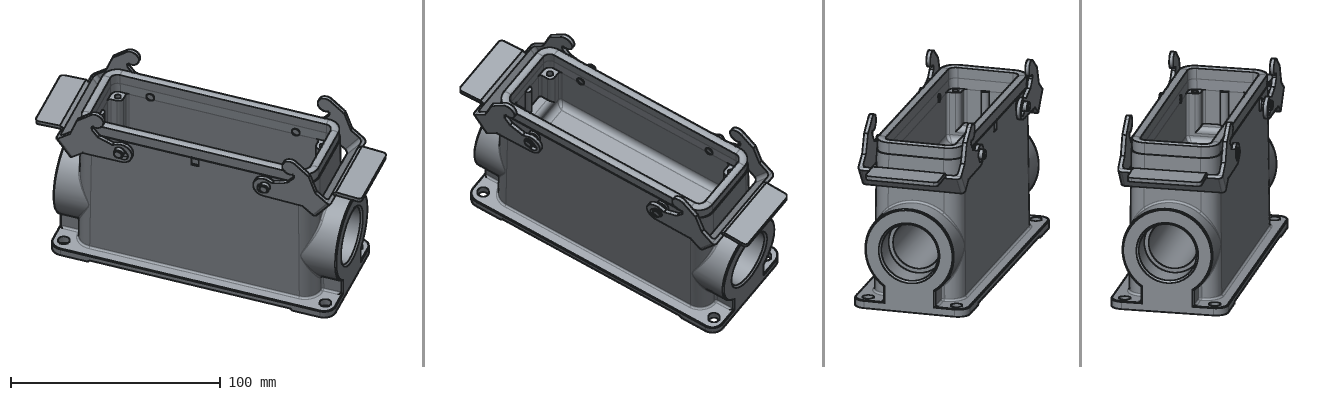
import math

import cadquery as cq

base_length = 144.0
base_width = 57.0
base_thickness = 4.0
base_corner_radius = 6.0
base_edge_chamfer = 0.4
foot_relief_length = 104.0
foot_relief_height = 1.0
mount_hole_diameter = 5.6
mount_hole_x = 66.5
mount_hole_y = 22.0

body_length = 122.6
body_width = 44.9
body_draft = 0.65
body_corner_radius = 8.0
foot_fillet = 1.0
shoulder_z = 74.8
key_notch_width = 3.8
key_notch_height = 4.2
key_notch_depth = 1.0
key_notch_top_z = shoulder_z - 0.2

rim_length = 120.0
rim_width = 42.7
rim_corner_radius = 7.6
rim_wall = 4.0
rim_edge_z = 80.4
rim_crown_height = 0.6

mouth_length = rim_length - 2 * rim_wall
mouth_width = rim_width - 2 * rim_wall
mouth_corner_radius = rim_corner_radius - rim_wall
mouth_bottom_z = 75.2
mouth_step = 0.2
lower_length = mouth_length - 2 * mouth_step
lower_width = mouth_width - 2 * mouth_step
post_top_z = 70.0
post_fillet = 2.5
well_half_length = 49.0
well_floor_z = 45.5
well_floor_fillet = 3.4
wall_fillet = 1.2
trough_width = 21.0
ledge_z = 53.0
ledge_fillet = 2.8
end_rib_diameter = 4.0
screw_hole_diameter = 3.0
screw_hole_depth = 15.0
screw_tip_depth = 0.9
screw_hole_x = 52.1
screw_hole_y = 13.6

entry_axis_z = 29.9
entry_radius = 22.1
entry_rim_chamfer = 0.6
entry_bore_diameter = 28.3
entry_bore_depth = 13.3
entry_bore_chamfer = 1.0
entry_root_fillet = 1.0
tunnel_diameter = 24.0
pedestal_width = 26.0
pedestal_chamfer = 0.8

pin_x = 37.0
pin_z = 70.9
pin_diameter = 4.75
pin_tip_y = 27.5
pin_tip_chamfer = 0.5
pin_root_y = mouth_width / 2 + rim_wall / 2
collar_diameter = 6.72
collar_tip_diameter = 5.6
collar_tip_y = 22.7
pin_dimple_diameter = 4.0
pin_dimple_depth = 0.3

sheet = 2.0
lever_width = 51.2
lever_offset_y = 0.75
lever_bend_outer_radius = 1.9
lever_bend_inner_radius = 2.0
right_lever_swing = 0.7
hook_radius = 4.0
hook_center = (-49.35, 86.12)
hook_root_angle = -110
hook_back_angle = 130
hook_throat = [(-40.7, 73.8), (-43.7, 74.9), (-48.0, 76.4), (-51.2, 80.2), (-51.4, 81.6)]
lever_back = [(-58.9, 83.6), (-62.4, 74.3)]
lever_heel = (-55.9, 64.3)
slot_width = 5.0
slot_travel = 2.6
slot_angle = -50
eye_radius = 5.35
eye_end_angle = 100
web_bottom = (-61.1, 60.4)
web_length = 11.8
web_angle = 127
web_outward = web_angle + 90
tab_width = 36.0
tab_tip_x = -83.0
tab_droop = 2.5
tab_rise = 1.4
tab_root_overlap = 1.0
tab_corner_radius = 2.0

selection_margin = 0.1


def rounded_block(length, width, radius, bottom, top):
    """Upright block with rounded vertical edges."""
    block = cq.Workplane("XY", origin=(0, 0, bottom)).rect(length, width)
    return block.extrude(top - bottom).edges("|Z").fillet(radius)


def four_corners(x, y):
    return [(sx * x, sy * y) for sx in (-1, 1) for sy in (-1, 1)]


def direction(angle):
    """Unit vector in the XZ plane at an angle in degrees from +X."""
    turn = math.radians(angle)
    return cq.Vector(math.cos(turn), 0, math.sin(turn))


def polar(start, angle, distance):
    """Point (x, z) at a distance from start, along an angle in degrees."""
    step = direction(angle) * distance
    return (start[0] + step.x, start[1] + step.z)


def base_flange():
    """Mounting flange, relieved underneath so that it stands on its two ends."""
    flange = rounded_block(base_length, base_width, base_corner_radius, 0, base_thickness)
    flange = flange.faces(">Z").edges().chamfer(base_edge_chamfer)
    half = foot_relief_length / 2
    relief = cq.Workplane("XZ").polyline([
        (-half, 0),
        (-half + foot_relief_height, foot_relief_height),
        (half - foot_relief_height, foot_relief_height),
        (half, 0),
    ]).close().extrude(base_width, both=True)
    return flange.cut(relief)


def mount_holes():
    holes = cq.Workplane("XY").pushPoints(four_corners(mount_hole_x, mount_hole_y))
    return holes.circle(mount_hole_diameter / 2).extrude(base_thickness)


def drafted_body():
    body = cq.Workplane("XY", origin=(0, 0, base_thickness)).rect(body_length, body_width)
    body = body.extrude(shoulder_z - base_thickness, taper=body_draft)
    return body.edges("not #Z").fillet(body_corner_radius)


def body_on_flange():
    """Body and flange with a fillet where the walls meet the flange."""
    joined = drafted_body().union(base_flange())
    x = body_length / 2 + selection_margin
    y = body_width / 2 + selection_margin
    foot = cq.selectors.BoxSelector((-x, -y, base_thickness - selection_margin),
                                    (x, y, base_thickness + selection_margin))
    return joined.edges(foot).fillet(foot_fillet)


def rim():
    """Upright rim with a domed crown along its top."""
    wall = rounded_block(rim_length, rim_width, rim_corner_radius, shoulder_z, rim_edge_z)
    middle = rounded_block(rim_length - rim_wall, rim_width - rim_wall, rim_corner_radius - rim_wall / 2,
                           shoulder_z, rim_edge_z)
    path = middle.faces(">Z").wires()
    inner_y = mouth_width / 2
    crown = cq.Workplane("YZ").moveTo(inner_y, rim_edge_z).threePointArc(
        (inner_y + rim_wall / 2, rim_edge_z + rim_crown_height),
        (inner_y + rim_wall, rim_edge_z)).close()
    return wall.union(crown.sweep(path))


def key_notch():
    """Shallow notch in the front wall, just below the shoulder."""
    body_shrink = (shoulder_z - base_thickness) * math.tan(math.radians(body_draft))
    floor_y = body_width / 2 - body_shrink - key_notch_depth
    notch = cq.Workplane("XZ", origin=(0, -floor_y, key_notch_top_z - key_notch_height / 2))
    return notch.rect(key_notch_width, key_notch_height).extrude(base_width / 2 - floor_y)


def entry(side):
    """Cable entry spigot and its pedestal, at the end given by side."""
    length = base_length / 2 - body_length / 2 + body_corner_radius
    spigot = cq.Workplane("YZ", origin=(-base_length / 2, 0, entry_axis_z)).circle(entry_radius)
    spigot = spigot.extrude(length).faces("<X").chamfer(entry_rim_chamfer)
    pedestal = cq.Workplane("YZ", origin=(-base_length / 2, 0, entry_axis_z / 2))
    pedestal = pedestal.rect(pedestal_width, entry_axis_z).extrude(length)
    pedestal = pedestal.edges("<X and |Z").chamfer(pedestal_chamfer)
    whole = spigot.union(pedestal)
    return whole if side < 0 else whole.mirror("YZ")


def entry_root(side):
    """Selector for the edges where a cable entry meets the body."""
    end = side * body_length / 2
    inside = end - side * body_corner_radius
    margin = selection_margin
    return cq.selectors.BoxSelector(
        (min(end, inside) - margin, -base_width / 2, base_thickness + foot_fillet + margin),
        (max(end, inside) + margin, base_width / 2, entry_axis_z + entry_radius))


def entry_bore(side):
    """Stepped bore of a cable entry, with a chamfered mouth."""
    radius = entry_bore_diameter / 2
    start = cq.Workplane("YZ", origin=(-base_length / 2, 0, entry_axis_z))
    bore = start.circle(radius).extrude(entry_bore_depth)
    mouth = start.circle(radius + entry_bore_chamfer)
    mouth = mouth.workplane(offset=entry_bore_chamfer).circle(radius).loft()
    whole = bore.union(mouth)
    return whole if side < 0 else whole.mirror("YZ")


def cable_tunnel():
    """Passage from one cable entry to the other, below the well floor."""
    tunnel = cq.Workplane("YZ", origin=(0, 0, entry_axis_z)).circle(tunnel_diameter / 2)
    return tunnel.extrude(base_length / 2, both=True)


def cavity_mouth():
    mouth = rounded_block(mouth_length, mouth_width, mouth_corner_radius,
                          mouth_bottom_z, rim_edge_z + rim_crown_height)
    depth = mouth_bottom_z - post_top_z
    upper = cq.Sketch().rect(mouth_length, mouth_width).vertices().fillet(mouth_corner_radius)
    lower = cq.Sketch().rect(lower_length, lower_width).vertices().fillet(mouth_corner_radius)
    step = cq.Workplane("XY", origin=(0, 0, post_top_z)).placeSketch(lower, upper.moved(z=depth)).loft()
    return mouth.union(step)


def end_trough(side):
    """Space between two posts, with a rounded drop from its ledge into the well."""
    well_x = well_half_length - ledge_fillet
    drop_z = ledge_z - ledge_fillet
    reach = lower_length / 2
    center = (well_half_length + ledge_fillet, drop_z)
    trough = cq.Workplane("XZ").moveTo(well_x, post_top_z)
    trough = trough.lineTo(well_x, drop_z).lineTo(well_half_length, drop_z)
    trough = trough.threePointArc(polar(center, 135, ledge_fillet), polar(center, 90, ledge_fillet))
    trough = trough.lineTo(reach, ledge_z).lineTo(reach, post_top_z).close()
    trough = trough.extrude(trough_width / 2, both=True).edges("|Z and >X").fillet(wall_fillet)
    return trough if side > 0 else trough.mirror("YZ")


def post_edge(x, y):
    """Selector for the upright edge of a corner post at (x, y)."""
    margin = selection_margin
    return cq.selectors.BoxSelector((x - margin, y - margin, ledge_z), (x + margin, y + margin, post_top_z))


def cavity():
    """Space inside the housing, with the corner posts left standing."""
    well = rounded_block(2 * well_half_length, lower_width, wall_fillet, well_floor_z, post_top_z)
    well = well.faces("<Z").edges().fillet(well_floor_fillet)
    for side in (-1, 1):
        well = well.union(end_trough(side))
    for x, y in four_corners(well_half_length, trough_width / 2):
        well = well.edges(post_edge(x, y)).fillet(post_fillet)
    return cavity_mouth().union(well)


def end_ribs():
    """Half-round ribs up the middle of the two end walls."""
    x = lower_length / 2
    ribs = cq.Workplane("XY", origin=(0, 0, ledge_z)).pushPoints([(-x, 0), (x, 0)])
    return ribs.circle(end_rib_diameter / 2).extrude(post_top_z - ledge_z)


def screw_holes():
    """Blind holes with drill tips, down from the tops of the posts."""
    radius = screw_hole_diameter / 2
    bottom_z = post_top_z - screw_hole_depth
    spots = four_corners(screw_hole_x, screw_hole_y)
    holes = cq.Workplane("XY", origin=(0, 0, bottom_z)).pushPoints(spots)
    holes = holes.circle(radius).extrude(screw_hole_depth)
    for x, y in spots:
        tip = cq.Solid.makeCone(0, radius, screw_tip_depth, pnt=(x, y, bottom_z - screw_tip_depth))
        holes = holes.union(cq.Workplane(tip))
    return holes


def wall_plane(x, y, side):
    """Workplane at a pin axis that faces out of the wall given by side."""
    plane = cq.Plane(origin=(x, side * y, pin_z), xDir=(1, 0, 0), normal=(0, side, 0))
    return cq.Workplane(plane)


def pivot_pin(x, side):
    """Pin with a tapered collar, standing out from one long wall."""
    wall_y = rim_width / 2
    pin = wall_plane(x, pin_root_y, side).circle(pin_diameter / 2).extrude(pin_tip_y - pin_root_y)
    pin = pin.faces(">Y" if side > 0 else "<Y").chamfer(pin_tip_chamfer)
    collar = wall_plane(x, wall_y, side).circle(collar_diameter / 2)
    collar = collar.workplane(offset=collar_tip_y - wall_y).circle(collar_tip_diameter / 2).loft()
    return pin.union(collar)


def pin_dimple(x, side):
    """Round dimple in the inner wall behind a pin."""
    return wall_plane(x, 0, side).circle(pin_dimple_diameter / 2).extrude(mouth_width / 2 + pin_dimple_depth)


def make_housing():
    body = body_on_flange()
    for side in (-1, 1):
        body = body.union(entry(side)).edges(entry_root(side)).fillet(entry_root_fillet)
    body = body.union(rim()).cut(cavity()).union(end_ribs())
    body = body.cut(screw_holes()).cut(mount_holes()).cut(key_notch()).cut(cable_tunnel())
    for side in (-1, 1):
        body = body.cut(entry_bore(side))
        for x in (-pin_x, pin_x):
            body = body.union(pivot_pin(x, side)).cut(pin_dimple(x, side))
    return body


slot_middle = polar((-pin_x, pin_z), slot_angle, slot_travel / 2)
web_top = polar(web_bottom, web_angle, web_length)
web_outer_bottom = polar(web_bottom, web_outward, sheet)
web_outer_top = polar(web_top, web_outward, sheet)


def lever_blank():
    """Side outline of a lever, out to the outer face of its web, at full width."""
    outline = cq.Workplane("XZ").moveTo(*web_outer_bottom).lineTo(*web_bottom).lineTo(*lever_heel)
    outline = outline.lineTo(*polar(slot_middle, -90, eye_radius))
    outline = outline.threePointArc(polar(slot_middle, 0, eye_radius),
                                    polar(slot_middle, eye_end_angle, eye_radius))
    for point in hook_throat:
        outline = outline.lineTo(*point)
    outline = outline.lineTo(*polar(hook_center, hook_root_angle, hook_radius))
    outline = outline.threePointArc(polar(hook_center, 0, hook_radius),
                                    polar(hook_center, hook_back_angle, hook_radius))
    for point in lever_back:
        outline = outline.lineTo(*point)
    outline = outline.lineTo(*web_top).lineTo(*web_outer_top).close()
    blank = outline.extrude(lever_width / 2, both=True)
    outer_face = cq.selectors.DirectionMinMaxSelector(direction(web_outward))
    return blank.faces(outer_face).edges(">Y or <Y").fillet(lever_bend_outer_radius)


def lever_gap():
    """Space between the two side plates, bounded by the inner face of the web."""
    reach = lever_width
    low = polar(web_bottom, web_angle, -reach)
    high = polar(web_bottom, web_angle, reach)
    inward = web_angle - 90
    gap = cq.Workplane("XZ").polyline([low, high, polar(high, inward, reach), polar(low, inward, reach)])
    gap = gap.close().extrude(lever_width / 2 - sheet, both=True)
    web_face = cq.selectors.DirectionMinMaxSelector(direction(web_outward))
    return gap.faces(web_face).edges(">Y or <Y").fillet(lever_bend_inner_radius)


def lever_tab():
    """Finger tab, bent outward from the top of the web."""
    root = (web_top[0] - sheet, web_top[1] + tab_rise)
    length = (root[0] - tab_tip_x) / math.cos(math.radians(tab_droop))
    tip = polar(root, 180 + tab_droop, length)
    down = tab_droop - 90
    back = web_angle + 180
    tab = cq.Workplane("XZ").polyline([
        polar(web_top, back, tab_root_overlap),
        web_top,
        root,
        tip,
        polar(tip, down, sheet),
        polar(root, down, sheet),
        web_outer_top,
        polar(web_outer_top, back, tab_root_overlap),
    ]).close().extrude(tab_width / 2, both=True)
    return tab.faces("<X").edges(">Y or <Y").fillet(tab_corner_radius)


def pivot_slot():
    """Slanted slot in both side plates; the pin sits at its upper end."""
    slot = cq.Workplane("XZ", origin=(slot_middle[0], 0, slot_middle[1]))
    return slot.slot2D(slot_travel + slot_width, slot_width, slot_angle).extrude(lever_width / 2, both=True)


def make_lever(side):
    lever = lever_blank().cut(lever_gap()).union(lever_tab()).cut(pivot_slot())
    lever = lever.translate((0, lever_offset_y, 0))
    if side < 0:
        return lever
    return lever.mirror("YZ").rotate((pin_x, 0, pin_z), (pin_x, 1, pin_z), right_lever_swing)


housing = make_housing()
levers = [make_lever(side) for side in (-1, 1)]

result = cq.Compound.makeCompound([housing.val(), *[lever.val() for lever in levers]])